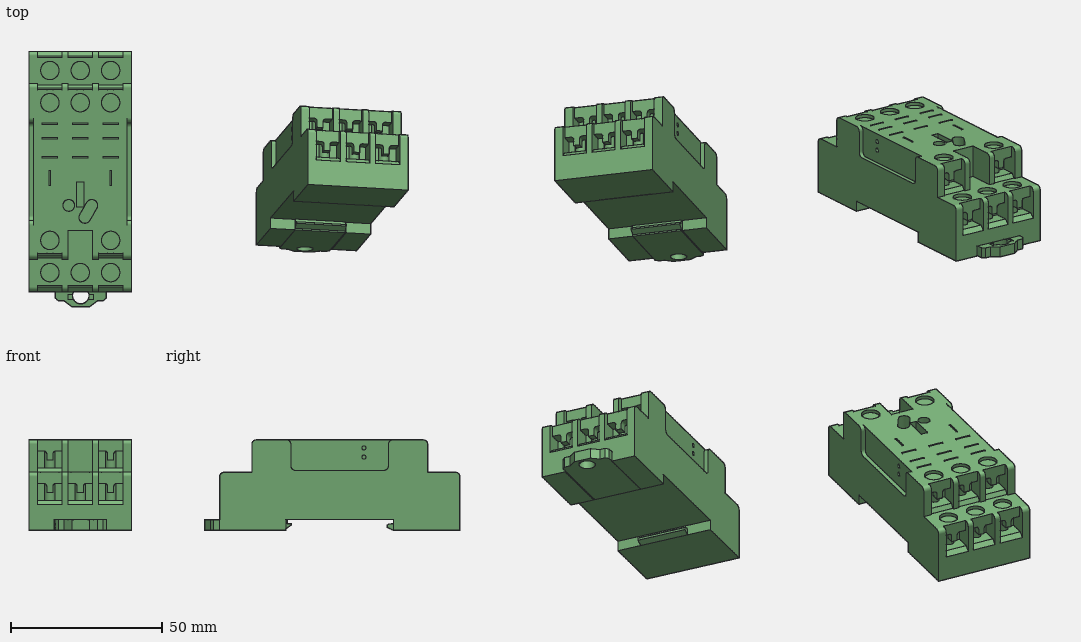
import cadquery as cq
import math


width = 34.0
overall_length = 84.6
length = 79.6
height = 30.0
step_height = 19.3
step_length = 10.7
edge_radius = 1.5

terminal_pitch = 10.1
columns = (-terminal_pitch, 0, terminal_pitch)
outer_columns = (-terminal_pitch, terminal_pitch)
outer_opening_width = 8.2
centre_opening_width = 7.95
opening_depth = 2.0
lip_drop = height - step_height
floor_drop = 9.3
ramp_end = 1.5
upper_lip_inset = 0.5
ceiling_drop = 3.7
cavity_depth = 6.35
tongue_width = 2.0
tongue_length = 3.05
tongue_radius = 1.0
post_radius = 1.8
screw_radius = 3.05
screw_inset = 6.35
screw_depth = 1.1

notch_end = 20.2

pocket_start = 23.6
pocket_end = 55.9
pocket_floor = 19.9
pocket_depth = 1.5
pin_hole_radius = 0.7
pin_hole_depth = 1.5
pin_hole_y = 47.8
pin_hole_heights = (24.3, 27.3)

blade_length = 5.1
blade_width = 0.5
blade_depth = 2.5
blade_rows = (44.6, 50.8, 55.6)
coil_blade_y = 37.65
key_depth = 5.9
key_slot_width = 2.4
key_slot_length = 8.4
key_slot_y = 32.2
key_radius = 1.95
key_hole_x = -3.8
key_hole_y = 28.6
oblong_start = (1.5, 24.6)
oblong_end = (3.8, 28.6)

channel_start = 21.9
channel_end = 57.5
channel_height = 3.55
claw_reach = 2.0
claw_top = 2.3
claw_tip_bottom = 1.0
claw_tip_top = 1.8
claw_shoulder = 1.6
claw_shoulder_height = 2.1

clip_slot_width = 17.3
clip_width = 16.9
clip_x = (clip_slot_width - clip_width) / 2
tab_length = overall_length - length
tab_shoulder = 3.05
tab_chamfer = 1.0
tab_neck_half_width = 5.5
tab_end_half_width = 3.0
clip_hole_radius = 2.7
clip_hole_y = -1.3
driver_notch_width = 8.3
driver_notch_start = -2.5
driver_notch_end = -0.9
driver_notch_depth = 2.2
nose_back = 0.5
nose_reach = 1.9
nose_top = 2.3
nose_tip = 1.8
nose_bottom = 0.5


def box(x_range, y_range, z_range):
    """Box between two limits on each axis."""
    sizes = [end - start for start, end in (x_range, y_range, z_range)]
    corner = (x_range[0], y_range[0], z_range[0])
    return cq.Workplane("XY").box(*sizes, centered=False).translate(corner)


def extrude_across(profile, total_width):
    """Extrude a closed list of (y, z) points symmetrically along X."""
    return cq.Workplane("YZ").polyline(profile).close().extrude(total_width / 2, both=True)


def stepped_block():
    """Housing block with a low deck at each end and rounded end edges."""
    upper_start = step_length
    upper_end = length - step_length
    profile = [
        (0, 0),
        (length, 0),
        (length, step_height),
        (upper_end, step_height),
        (upper_end, height),
        (upper_start, height),
        (upper_start, step_height),
        (0, step_height),
    ]
    block = extrude_across(profile, width)
    rounded = [(0, step_height), (length, step_height), (upper_start, height), (upper_end, height)]
    for y, z in rounded:
        block = block.edges(cq.selectors.NearestToPointSelector((0, y, z))).fillet(edge_radius)
    return block


def terminal_cutter(opening_width, lip_inset):
    """Wire opening and screw recess of one terminal, with its end face at Y = 0 and its deck at Z = 0."""
    half_opening = opening_width / 2
    opening = box((-half_opening, half_opening), (0, opening_depth), (-lip_drop, 0))
    ramp = extrude_across(
        [
            (lip_inset, -lip_drop),
            (ramp_end, -floor_drop),
            (opening_depth, -floor_drop),
            (opening_depth, -lip_drop),
        ],
        opening_width,
    )
    opening = opening.cut(ramp)

    half_tongue = tongue_width / 2
    cavity = box(
        (-half_opening, half_opening), (opening_depth, cavity_depth), (-floor_drop, -ceiling_drop)
    )
    tongue = box(
        (-half_tongue, half_tongue),
        (opening_depth, cavity_depth),
        (-ceiling_drop - tongue_length, -ceiling_drop),
    )
    cavity = cavity.cut(tongue)
    for side in (-half_tongue, half_tongue):
        root = (side, (opening_depth + cavity_depth) / 2, -ceiling_drop)
        cavity = cavity.edges(cq.selectors.NearestToPointSelector(root)).fillet(tongue_radius)

    post_origin = (0, cavity_depth, -floor_drop)
    post = cq.Workplane("XY", origin=post_origin).circle(post_radius).extrude(floor_drop - ceiling_drop)

    screw_recess = cq.Workplane("XY", origin=(0, screw_inset, -screw_depth)).circle(screw_radius)
    return opening.union(cavity.cut(post)).union(screw_recess.extrude(screw_depth))


def cut_terminals(body):
    """Two rows of terminals at each end; the upper front row has none in the centre notch."""
    rows = [
        (0, step_height, columns, 0, False),
        (step_length, height, outer_columns, upper_lip_inset, False),
        (length, step_height, columns, 0, True),
        (length - step_length, height, columns, upper_lip_inset, True),
    ]
    for face_y, deck, row_columns, lip_inset, faces_back in rows:
        for x in row_columns:
            opening_width = centre_opening_width if x == 0 else outer_opening_width
            cutter = terminal_cutter(opening_width, lip_inset)
            if faces_back:
                cutter = cutter.mirror("XZ")
            body = body.cut(cutter.translate((x, face_y, deck)))
    return body


def centre_notch():
    """Notch between the two upper front terminals, level with the low deck."""
    half = centre_opening_width / 2
    return box((-half, half), (step_length, notch_end), (step_height, height))


def side_pocket():
    """Pocket and pin holes of the -X side: rounded lower corners and a rounded flare at the top."""
    r = edge_radius
    pocket = (
        cq.Workplane("YZ", origin=(-width / 2, 0, 0))
        .moveTo(pocket_start - r, height)
        .radiusArc((pocket_start, height - r), r)
        .lineTo(pocket_start, pocket_floor + r)
        .radiusArc((pocket_start + r, pocket_floor), -r)
        .lineTo(pocket_end - r, pocket_floor)
        .radiusArc((pocket_end, pocket_floor + r), -r)
        .lineTo(pocket_end, height - r)
        .radiusArc((pocket_end + r, height), r)
        .close()
        .extrude(pocket_depth)
    )
    pin_holes = (
        cq.Workplane("YZ", origin=(-width / 2, 0, 0))
        .pushPoints([(pin_hole_y, z) for z in pin_hole_heights])
        .circle(pin_hole_radius)
        .extrude(pocket_depth + pin_hole_depth)
    )
    return pocket.union(pin_holes)


def blade_slots():
    """Thin slots for the relay contacts, and two turned slots for its coil."""
    contacts = (
        cq.Workplane("XY", origin=(0, 0, height))
        .pushPoints([(x, y) for x in columns for y in blade_rows])
        .rect(blade_length, blade_width)
        .extrude(-blade_depth)
    )
    coil = (
        cq.Workplane("XY", origin=(0, 0, height))
        .pushPoints([(x, coil_blade_y) for x in outer_columns])
        .rect(blade_width, blade_length)
        .extrude(-blade_depth)
    )
    return contacts.union(coil)


def key_openings():
    """Straight slot, round hole and slanted oblong in the middle of the upper deck."""
    deck = cq.Workplane("XY", origin=(0, 0, height))
    slot = deck.center(0, key_slot_y).rect(key_slot_width, key_slot_length).extrude(-key_depth)
    hole = deck.center(key_hole_x, key_hole_y).circle(key_radius).extrude(-key_depth)

    run = oblong_end[0] - oblong_start[0]
    rise = oblong_end[1] - oblong_start[1]
    middle_x = (oblong_start[0] + oblong_end[0]) / 2
    middle_y = (oblong_start[1] + oblong_end[1]) / 2
    slant = math.degrees(math.atan2(rise, run))
    oblong = (
        deck.center(middle_x, middle_y)
        .slot2D(math.hypot(run, rise) + 2 * key_radius, 2 * key_radius, slant)
        .extrude(-key_depth)
    )
    return slot.union(hole).union(oblong)


def fixed_claw():
    """Claw at the back of the rail channel."""
    profile = [
        (channel_end, 0),
        (channel_end, claw_top),
        (channel_end - claw_shoulder, claw_shoulder_height),
        (channel_end - claw_reach, claw_tip_top),
        (channel_end - claw_reach, claw_tip_bottom),
    ]
    return extrude_across(profile, clip_slot_width)


def make_housing():
    body = cut_terminals(stepped_block())
    body = body.cut(centre_notch())
    pocket = side_pocket()
    body = body.cut(pocket).cut(pocket.mirror("YZ"))
    body = body.cut(blade_slots()).cut(key_openings())

    half_width = width / 2
    half_slot = clip_slot_width / 2
    rail_channel = box((-half_width, half_width), (channel_start, channel_end), (0, channel_height))
    clip_slot = box((-half_slot, half_slot), (0, channel_start), (0, channel_height))
    return body.cut(rail_channel).cut(clip_slot).union(fixed_claw())


def make_clip():
    """Flat clip under the housing, with a pull tab in front and a sprung nose in the rail channel."""
    half = clip_width / 2
    right_outline = [
        (half, channel_start),
        (half, tab_chamfer - tab_shoulder),
        (half - tab_chamfer, -tab_shoulder),
        (tab_neck_half_width, -tab_shoulder),
        (tab_end_half_width, -tab_length),
    ]
    left_outline = [(-x, y) for x, y in reversed(right_outline)]
    plate = cq.Workplane("XY").polyline(right_outline + left_outline).close().extrude(channel_height)

    nose = extrude_across(
        [
            (channel_start, nose_bottom),
            (channel_start, channel_height),
            (channel_start + nose_back, channel_height),
            (channel_start + nose_back, nose_top),
            (channel_start + nose_reach, nose_top),
            (channel_start + nose_reach, nose_tip),
        ],
        clip_width,
    )

    hole = cq.Workplane("XY").center(0, clip_hole_y).circle(clip_hole_radius).extrude(channel_height)
    half_notch = driver_notch_width / 2
    driver_notch = box(
        (-half_notch, half_notch),
        (driver_notch_start, driver_notch_end),
        (channel_height - driver_notch_depth, channel_height),
    )
    return plate.union(nose).cut(hole).cut(driver_notch).translate((clip_x, 0, 0))


housing = make_housing()
clip = make_clip()

result = cq.Compound.makeCompound([housing.val(), clip.val()])